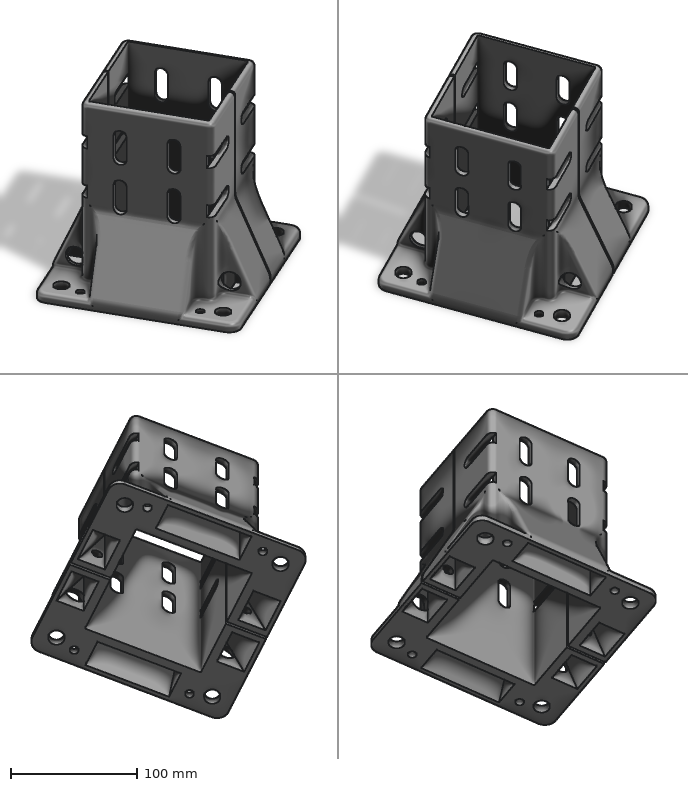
import cadquery as cq
HEIGHT = 170.0
FOOT_SIDE = 170.0
FOOT_HEIGHT = 8.0
FOOT_CORNER_RADIUS = 10.0
FOOT_RIM_RADIUS = 4.0

TUBE_SIDE = 111.0
BORE_SIDE = 100.3
BORE_CORNER_RADIUS = 1.0
TUBE_CORNER_RADIUS = 6.0
TUBE_RIM_RADIUS = 3.9

FLARE_WIDTH = 79.2
FLARE_TOP = 75.0
FLARE_BEND_RADIUS = 15.0
FLARE_ROOT_RADIUS = 8.0
FLARE_EDGE_RADIUS = 4.0
FOOT_BLEND_RADIUS = 3.0

CAVITY_BACK = 57.8
SIDE_WALL = 3.4
SLOPE_WALL = 7.1
WEB_THICKNESS = 5.1

SAW_WIDTH = 3.0
GAP = 2.0

SLOT_WIDTH = 11.0
SLOT_ROW_SPACING = 45.0
UPPER_SLOT_HEIGHT = 135.0
SLOT_HEIGHTS = (UPPER_SLOT_HEIGHT, UPPER_SLOT_HEIGHT - SLOT_ROW_SPACING)
UPRIGHT_SLOT_LENGTH = 31.0
UPRIGHT_SLOT_X = 22.5
CORNER_SLOT_DEPTH = 5.6
CORNER_SLOT_END = 16.5

ANCHOR_DIAMETER = 13.1
ANCHOR_OFFSET = 67.5
SCREW_DIAMETER = 7.0
SCREW_X = 50.0
SCREW_Y = 72.5
BOLT_DIAMETER = 9.0
BOLT_ACCESS_DIAMETER = 17.0
BOLT_X = 64.5
BOLT_Z = 20.0

foot_face = FOOT_SIDE / 2
tube_face = TUBE_SIDE / 2
closing_travel = SAW_WIDTH - GAP
bore_face = BORE_SIDE / 2
flare_side = FLARE_WIDTH / 2
slope_run_per_rise = (foot_face - tube_face) / (FLARE_TOP - FOOT_HEIGHT)


def four_around(shape):
    """The shape on the -Y side and its copies on the other three sides."""
    return [shape.rotate((0, 0, 0), (0, 0, 1), quarter * 90) for quarter in range(4)]


def make_foot():
    foot = cq.Workplane("XY").rect(FOOT_SIDE, FOOT_SIDE).extrude(FOOT_HEIGHT)
    foot = foot.edges("|Z").fillet(FOOT_CORNER_RADIUS)
    return foot.faces(">Z").edges().fillet(FOOT_RIM_RADIUS)


def make_tube():
    tube = cq.Workplane("XY").rect(TUBE_SIDE, TUBE_SIDE).extrude(HEIGHT)
    tube = tube.edges("|Z").fillet(TUBE_CORNER_RADIUS)
    return tube.faces(">Z").edges().fillet(TUBE_RIM_RADIUS)


def make_flare_profile():
    """Side outline of the -Y flare with both ends of its slope bent round, as a wide bar."""
    flare_height = FLARE_TOP + FLARE_BEND_RADIUS
    profile = (
        cq.Workplane("YZ")
        .moveTo(-bore_face, 0)
        .lineTo(-foot_face, 0)
        .lineTo(-foot_face, FOOT_HEIGHT)
        .lineTo(-tube_face, FLARE_TOP)
        .lineTo(-tube_face, flare_height)
        .lineTo(-bore_face, flare_height)
        .close()
        .extrude(foot_face, both=True)
    )
    for bend in ((0, -foot_face, FOOT_HEIGHT), (0, -tube_face, FLARE_TOP)):
        profile = profile.edges(cq.NearestToPointSelector(bend)).fillet(FLARE_BEND_RADIUS)
    return profile


def make_flare_plan():
    """Plan outline of the -Y flare, its sides sweeping out to the tube, as a tall block."""
    root_y = -tube_face - FLARE_ROOT_RADIUS
    root_x = flare_side + FLARE_ROOT_RADIUS
    return (
        cq.Workplane("XY")
        .moveTo(-flare_side, -foot_face)
        .lineTo(-flare_side, root_y)
        .radiusArc((-root_x, -tube_face), -FLARE_ROOT_RADIUS)
        .lineTo(-root_x, -bore_face)
        .lineTo(root_x, -bore_face)
        .lineTo(root_x, -tube_face)
        .radiusArc((flare_side, root_y), -FLARE_ROOT_RADIUS)
        .lineTo(flare_side, -foot_face)
        .close()
        .extrude(HEIGHT)
    )


def make_flare():
    flare = make_flare_profile().intersect(make_flare_plan())
    middle_y = -(foot_face + tube_face) / 2
    middle_z = (FOOT_HEIGHT + FLARE_TOP) / 2
    for x in (-flare_side, flare_side):
        slope_edge = cq.NearestToPointSelector((x, middle_y, middle_z))
        flare = flare.edges(slope_edge).fillet(FLARE_EDGE_RADIUS)
    return flare


def blend_onto_foot(body):
    """Round the inner corner where the tube and the flares stand on the foot."""
    reach = foot_face - FOOT_RIM_RADIUS
    height_margin = FOOT_BLEND_RADIUS / 10
    foot_top = body.edges(
        cq.selectors.BoxSelector(
            (-reach, -reach, FOOT_HEIGHT - height_margin),
            (reach, reach, FOOT_HEIGHT + height_margin),
        )
    )
    return foot_top.fillet(FOOT_BLEND_RADIUS)


def make_flare_cavity():
    """Hollow of the -Y flare: a wedge that follows the slope."""
    front_at_foot_top = foot_face - SLOPE_WALL
    front_at_floor = front_at_foot_top + FOOT_HEIGHT * slope_run_per_rise
    apex_height = (front_at_floor - CAVITY_BACK) / slope_run_per_rise
    return (
        cq.Workplane("YZ")
        .moveTo(-CAVITY_BACK, 0)
        .lineTo(-front_at_floor, 0)
        .lineTo(-CAVITY_BACK, apex_height)
        .close()
        .extrude(flare_side - SIDE_WALL, both=True)
    )


def cut_cavities(body):
    front, right, back, left = four_around(make_flare_cavity())
    web_width = SAW_WIDTH + 2 * WEB_THICKNESS
    web = cq.Workplane("XY").box(FOOT_SIDE, web_width, HEIGHT, centered=(True, True, False))
    for cavity in (front, back, right.cut(web), left.cut(web)):
        body = body.cut(cavity)
    return body


def cut_upright_slots(body):
    """Upright slots straight through the front and back walls."""
    places = [(x, z) for x in (-UPRIGHT_SLOT_X, UPRIGHT_SLOT_X) for z in SLOT_HEIGHTS]
    slots = (
        cq.Workplane("XZ")
        .pushPoints(places)
        .slot2D(UPRIGHT_SLOT_LENGTH, SLOT_WIDTH, 90)
        .extrude(FOOT_SIDE, both=True)
    )
    return body.cut(slots)


def cut_corner_slots(body):
    """Level slots in the two side walls that run out through the tube's rounded corners."""
    slot_length = 2 * (tube_face - CORNER_SLOT_END)
    for side in (-1, 1):
        floor_x = side * (tube_face - CORNER_SLOT_DEPTH)
        floor = cq.Plane((floor_x, 0, 0), (0, side, 0), (side, 0, 0))
        places = [(y, z) for y in (-tube_face, tube_face) for z in SLOT_HEIGHTS]
        slots = (
            cq.Workplane(floor)
            .pushPoints(places)
            .slot2D(slot_length, SLOT_WIDTH)
            .extrude(CORNER_SLOT_DEPTH)
        )
        body = body.cut(slots)
    return body


def cut_foot_holes(body):
    for diameter, x, y in (
        (ANCHOR_DIAMETER, ANCHOR_OFFSET, ANCHOR_OFFSET),
        (SCREW_DIAMETER, SCREW_X, SCREW_Y),
    ):
        holes = (
            cq.Workplane("XY")
            .rect(2 * x, 2 * y, forConstruction=True)
            .vertices()
            .circle(diameter / 2)
            .extrude(FOOT_HEIGHT)
        )
        body = body.cut(holes)
    return body


def cut_bolt_holes(body):
    """Bolt holes through the webs, with wider access holes through the flares' side walls."""
    bolt_places = cq.Workplane("XZ").pushPoints([(-BOLT_X, BOLT_Z), (BOLT_X, BOLT_Z)])
    body = body.cut(bolt_places.circle(BOLT_DIAMETER / 2).extrude(foot_face, both=True))
    access = bolt_places.circle(BOLT_ACCESS_DIAMETER / 2).extrude(foot_face, both=True)
    inside_walls = cq.Workplane("XY").box(FOOT_SIDE, 2 * (flare_side - SIDE_WALL), HEIGHT)
    return body.cut(access.cut(inside_walls))


def make_full_holder():
    body = make_foot().union(make_tube())
    for flare in four_around(make_flare()):
        body = body.union(flare)
    body = blend_onto_foot(body)
    body = cut_cavities(body)
    bore = cq.Workplane("XY").rect(BORE_SIDE, BORE_SIDE + closing_travel).extrude(HEIGHT)
    bore = bore.edges("|Z").fillet(BORE_CORNER_RADIUS)
    body = body.cut(bore)
    body = cut_upright_slots(body)
    body = cut_corner_slots(body)
    body = cut_foot_holes(body)
    return cut_bolt_holes(body)


def make_half(full_holder, side):
    """The half on the -Y side (side = -1) or the +Y side (side = 1), closed up to the gap."""
    keep = (
        cq.Workplane("XY")
        .box(FOOT_SIDE, foot_face, HEIGHT, centered=(True, False, False))
        .translate((0, SAW_WIDTH / 2, 0))
    )
    if side < 0:
        keep = keep.mirror("XZ")
    half = full_holder.intersect(keep)
    return half.translate((0, -side * closing_travel / 2, 0))


full_holder = make_full_holder()
halves = [make_half(full_holder, side) for side in (-1, 1)]

result = cq.Compound.makeCompound([half.solids().val() for half in halves])